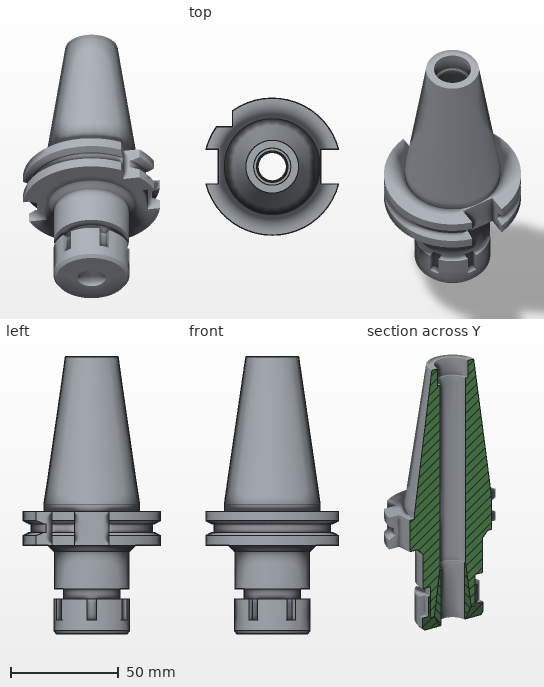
import cadquery as cq
import math

TOTAL_HEIGHT = 128.4
GAUGE_Z = 60.0
FLANGE_TOP_Z = 56.8
FLANGE_BOTTOM_Z = 41.0
SHANK_TOP_Z = 38.0
SHANK_BOTTOM_Z = 20.8
NUT_HEIGHT = 16.2
NOSE_BOTTOM_Z = 5.1
COLLET_TOP_Z = 28.2

GAUGE_RADIUS = 22.2
TAPER_RATIO = 7 / 24
TAPER_TOP_RADIUS = GAUGE_RADIUS - (TOTAL_HEIGHT - GAUGE_Z) * TAPER_RATIO / 2
FLANGE_DIAMETER = 63.5
FLANGE_RADIUS = FLANGE_DIAMETER / 2
CONE_TOP_RADIUS = 20.3
SHANK_RADIUS = 17.3
NOSE_RADIUS = 13.1

GROOVE_Z = 48.9
GROOVE_FLOOR_RADIUS = 28.1
GROOVE_STEP_RADIUS = 28.9
GROOVE_FLOOR_WIDTH = 3.9
GROOVE_MOUTH_WIDTH = 6.9

KEYWAY_WIDTH = 15.9
LEFT_KEYWAY_FLOOR = 25.0
RIGHT_KEYWAY_FLOOR = 22.5
NOTCH_OFFSET = 18.5

DRAWBAR_RADIUS = 8.6
DRAWBAR_DEPTH = 8.5
HOLDER_BORE_RADIUS = 7.2
COLLET_BORE_RADIUS = 6.5

COLLET_RADIUS = 10.5
COLLET_TAPER = 8
COLLET_FRONT_TAPER = 30
COLLET_TOP_RADIUS = COLLET_RADIUS - (COLLET_TOP_Z - NOSE_BOTTOM_Z) * math.tan(math.radians(COLLET_TAPER))
COLLET_FACE_RADIUS = COLLET_RADIUS - NOSE_BOTTOM_Z * math.tan(math.radians(COLLET_FRONT_TAPER))

NUT_RADIUS = 17.6
NUT_CHAMFER_HEIGHT = 1.5
NUT_CHAMFER_WIDTH = 1.2
SLOT_COUNT = 6
SLOT_WIDTH = 4.5
SLOT_FLOOR_RADIUS = 14.3
SLOT_BOTTOM_Z = 6.4


def revolve(points):
    """Solid of revolution about Z from an outline of (radius, z) points."""
    return cq.Workplane("XZ").polyline(points).close().revolve(360, (0, 0, 0), (0, 1, 0))


def block(x_min, x_max, y_min, y_max, z_min, z_max):
    """Axis-aligned box given by its limits."""
    box = cq.Workplane("XY").box(x_max - x_min, y_max - y_min, z_max - z_min, centered=False)
    return box.translate((x_min, y_min, z_min))


def flange_block(x_min, x_max, y_min, y_max):
    """Cutting box as tall as the flange."""
    return block(x_min, x_max, y_min, y_max, FLANGE_BOTTOM_Z, FLANGE_TOP_Z)


def make_holder():
    floor_half = GROOVE_FLOOR_WIDTH / 2
    mouth_half = GROOVE_MOUTH_WIDTH / 2
    drawbar_floor_z = TOTAL_HEIGHT - DRAWBAR_DEPTH
    body = revolve([
        (DRAWBAR_RADIUS, TOTAL_HEIGHT),
        (TAPER_TOP_RADIUS, TOTAL_HEIGHT),
        (GAUGE_RADIUS, GAUGE_Z),
        (GAUGE_RADIUS, FLANGE_TOP_Z),
        (FLANGE_RADIUS, FLANGE_TOP_Z),
        (FLANGE_RADIUS, GROOVE_Z + mouth_half),
        (GROOVE_STEP_RADIUS, GROOVE_Z + floor_half),
        (GROOVE_FLOOR_RADIUS, GROOVE_Z + floor_half),
        (GROOVE_FLOOR_RADIUS, GROOVE_Z - floor_half),
        (GROOVE_STEP_RADIUS, GROOVE_Z - floor_half),
        (FLANGE_RADIUS, GROOVE_Z - mouth_half),
        (FLANGE_RADIUS, FLANGE_BOTTOM_Z),
        (CONE_TOP_RADIUS, FLANGE_BOTTOM_Z),
        (SHANK_RADIUS, SHANK_TOP_Z),
        (SHANK_RADIUS, SHANK_BOTTOM_Z),
        (NOSE_RADIUS, SHANK_BOTTOM_Z),
        (NOSE_RADIUS, NOSE_BOTTOM_Z),
        (COLLET_RADIUS, NOSE_BOTTOM_Z),
        (COLLET_TOP_RADIUS, COLLET_TOP_Z),
        (HOLDER_BORE_RADIUS, COLLET_TOP_Z),
        (HOLDER_BORE_RADIUS, drawbar_floor_z),
        (DRAWBAR_RADIUS, drawbar_floor_z),
    ])
    key_half = KEYWAY_WIDTH / 2
    left_keyway = flange_block(-FLANGE_RADIUS, -LEFT_KEYWAY_FLOOR, -key_half, key_half)
    right_keyway = flange_block(RIGHT_KEYWAY_FLOOR, FLANGE_RADIUS, -key_half, key_half)
    notch = flange_block(-FLANGE_RADIUS, -NOTCH_OFFSET, NOTCH_OFFSET, FLANGE_RADIUS)
    return body.cut(left_keyway).cut(right_keyway).cut(notch)


def make_collet():
    return revolve([
        (COLLET_BORE_RADIUS, 0),
        (COLLET_FACE_RADIUS, 0),
        (COLLET_RADIUS, NOSE_BOTTOM_Z),
        (COLLET_TOP_RADIUS, COLLET_TOP_Z),
        (COLLET_BORE_RADIUS, COLLET_TOP_Z),
    ])


def make_nut():
    nut = revolve([
        (COLLET_FACE_RADIUS, 0),
        (NUT_RADIUS - NUT_CHAMFER_WIDTH, 0),
        (NUT_RADIUS, NUT_CHAMFER_HEIGHT),
        (NUT_RADIUS, NUT_HEIGHT),
        (NOSE_RADIUS, NUT_HEIGHT),
        (NOSE_RADIUS, NOSE_BOTTOM_Z),
        (COLLET_RADIUS, NOSE_BOTTOM_Z),
    ])
    slot_half = SLOT_WIDTH / 2
    slot = block(SLOT_FLOOR_RADIUS, NUT_RADIUS, -slot_half, slot_half, SLOT_BOTTOM_Z, NUT_HEIGHT)
    for index in range(SLOT_COUNT):
        angle = index * 360 / SLOT_COUNT
        nut = nut.cut(slot.rotate((0, 0, 0), (0, 0, 1), angle))
    return nut


holder = make_holder()
collet = make_collet()
nut = make_nut()

result = cq.Compound.makeCompound([holder.val(), collet.val(), nut.val()])